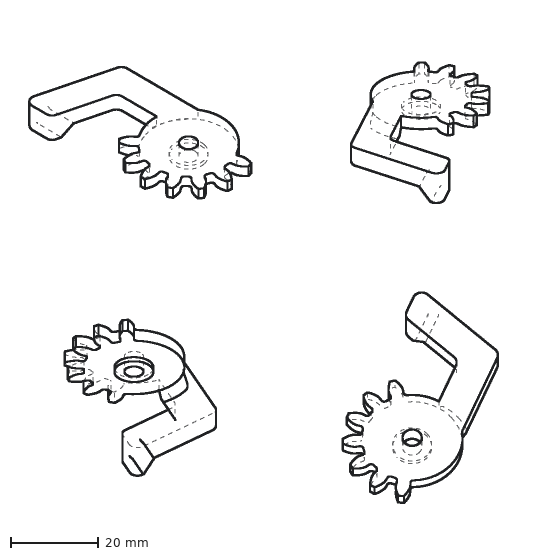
import cadquery as cq
import math

full_tooth_count = 14
outer_radius = 16.0
pressure_angle = math.radians(20)
gear_thickness = 3.0
root_diameter = 23.15
root_fillet = 0.75
first_tooth = -2
last_tooth = 4

module = outer_radius / (full_tooth_count / 2 + 1)
pitch_radius = outer_radius - module
root_radius = root_diameter / 2
base_radius = pitch_radius * math.cos(pressure_angle)
tooth_step = 2 * math.pi / full_tooth_count

bore_diameter = 4.4
boss_diameter = 9.0
boss_bottom = 4.1

arm_width = 8.0
arm_top_y = 10.0
arm_inner_y = arm_top_y - arm_width
arm_thickness = 5.0
arm_end_x = -2.1
leg_slope = 2.5
leg_end_y = -14.0
leg_corner_x = -38.35
leg_width_x = arm_width * math.hypot(1, leg_slope) / leg_slope
corner_radius = 2.0
bottom_fillet = 0.8

foot_depth = 8.0
foot_flat = 3.0
foot_ramp_start_y = leg_end_y + foot_flat
foot_ramp_end_y = foot_ramp_start_y + foot_depth - arm_thickness


def involute(angle):
    return math.tan(angle) - angle


def polar(radius, angle):
    return (radius * math.cos(angle), radius * math.sin(angle))


def flank_half_angle(radius):
    """Half of the angle covered by a tooth at the given radius."""
    at_pitch = tooth_step / 4
    return at_pitch + involute(pressure_angle) - involute(math.acos(base_radius / radius))


def make_gear():
    """Root disc with involute teeth on part of its rim."""
    flank_steps = 6
    tooth_start_radius = root_radius / 2
    radii = [base_radius + (outer_radius - base_radius) * i / flank_steps for i in range(flank_steps + 1)]
    base_half_angle = flank_half_angle(base_radius)
    tip_half_angle = flank_half_angle(outer_radius)
    gear = cq.Workplane("XY").circle(root_radius).extrude(-gear_thickness)
    for index in range(first_tooth, last_tooth + 1):
        middle = -math.pi / 2 + index * tooth_step
        right_flank = [polar(r, middle - flank_half_angle(r)) for r in radii]
        left_flank = [polar(r, middle + flank_half_angle(r)) for r in reversed(radii)]
        tooth = (
            cq.Workplane("XY")
            .moveTo(*polar(tooth_start_radius, middle - base_half_angle))
            .lineTo(*right_flank[0])
            .spline(right_flank[1:], includeCurrent=True)
            .threePointArc(polar(outer_radius, middle), polar(outer_radius, middle + tip_half_angle))
            .spline(left_flank[1:], includeCurrent=True)
            .lineTo(*polar(tooth_start_radius, middle + base_half_angle))
            .close()
            .extrude(-gear_thickness)
        )
        gear = gear.union(tooth)

    def is_root_corner(edge):
        center = edge.Center()
        return abs(math.hypot(center.x, center.y) - root_radius) < root_fillet / 10

    root_corners = [
        edge for edge in gear.edges("|Z").vals()
        if is_root_corner(edge) and abs(edge.Center().y) > root_fillet / 10
    ]
    return gear.newObject(root_corners).fillet(root_fillet)


def make_arm():
    """Bent arm with a ramped foot, rounded along its lower edges."""
    def leg_x(y):
        return leg_corner_x + (y - leg_end_y) / leg_slope

    arm = (
        cq.Workplane("XY")
        .moveTo(leg_corner_x, leg_end_y)
        .lineTo(leg_corner_x + leg_width_x, leg_end_y)
        .lineTo(leg_x(arm_inner_y) + leg_width_x, arm_inner_y)
        .lineTo(arm_end_x, arm_inner_y)
        .lineTo(arm_end_x, arm_top_y)
        .lineTo(leg_x(arm_top_y), arm_top_y)
        .close()
        .extrude(-foot_depth)
    )
    leg_corners = [edge for edge in arm.edges("|Z").vals() if edge.Center().x < arm_end_x]
    arm = arm.newObject(leg_corners).fillet(corner_radius)

    clearance = (
        cq.Workplane("YZ")
        .moveTo(foot_ramp_start_y, -foot_depth)
        .lineTo(foot_ramp_end_y, -arm_thickness)
        .lineTo(arm_top_y, -arm_thickness)
        .lineTo(arm_top_y, -foot_depth)
        .close()
        .extrude(leg_corner_x, both=True)
    )
    arm = arm.cut(clearance)

    tolerance = 0.005
    crease_places = (foot_ramp_start_y, foot_ramp_end_y)
    rim = []
    for edge in arm.edges().vals():
        center = edge.Center()
        is_low = center.z < -arm_thickness + tolerance
        is_crease = any(abs(center.y - y) < tolerance for y in crease_places)
        is_buried_end = abs(center.x - arm_end_x) < tolerance
        if is_low and not (is_crease or is_buried_end):
            rim.append(edge)
    arm = arm.newObject(rim).fillet(bottom_fillet)

    relief_drop = arm_thickness - gear_thickness
    relief = (
        cq.Workplane("XZ")
        .moveTo(0, -gear_thickness)
        .lineTo(root_radius, -gear_thickness)
        .lineTo(root_radius + relief_drop, -arm_thickness)
        .lineTo(0, -arm_thickness)
        .close()
        .revolve(360, (0, 0, 0), (0, 1, 0))
    )
    return arm.cut(relief)


boss = cq.Workplane("XY").circle(boss_diameter / 2).extrude(-boss_bottom)
bore = cq.Workplane("XY").circle(bore_diameter / 2).extrude(-boss_bottom)

result = make_gear().union(make_arm()).union(boss).cut(bore)